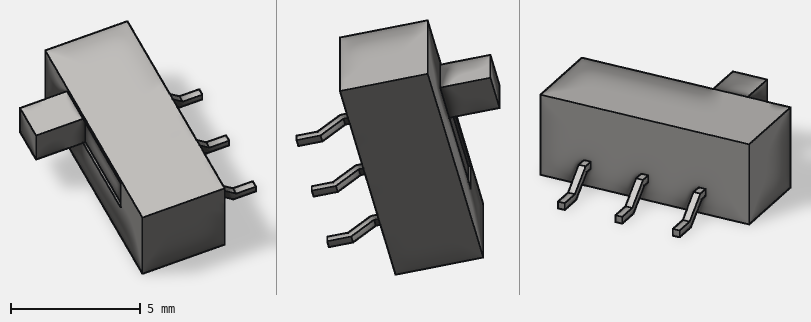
import cadquery as cq

body_length = 9.1
body_depth = 3.5
body_height = 3.5

slot_length = 5.005
slot_height = 1.5
slot_top_margin = 0.2
slot_depth = 0.1
slider_width = 1.5
slider_reach = 2.0

terminal_count = 3
terminal_pitch = 2.5
terminal_thickness = 0.3
terminal_reach = 2.19
terminal_rise = 0.8
upper_bend_top = 0.44
upper_bend_bottom = 0.32
lower_bend_top = 1.35
lower_bend_bottom = 1.23

slot_bottom = body_height - slot_top_margin - slot_height


def corner_box(x_size, y_size, z_size, corner):
    """Box extending in +X, +Y and +Z from the given corner."""
    return cq.Workplane("XY").box(x_size, y_size, z_size, centered=False).translate(corner)


def make_housing():
    housing = corner_box(body_length, body_depth, body_height, (-body_length / 2, 0, 0))
    slot = corner_box(slot_length, slot_depth, slot_height, (-slot_length / 2, 0, slot_bottom))
    return housing.cut(slot)


def make_slider():
    """Slider filling the slot height, standing on the slot floor."""
    corner = (-slot_length / 2, -slider_reach, slot_bottom)
    return corner_box(slider_width, slider_reach + slot_depth, slot_height, corner)


def make_terminal(x_center):
    """Flat strip leaving the rear face, bent down to the level of the underside."""
    profile = [
        (0, terminal_rise),
        (upper_bend_bottom, terminal_rise),
        (lower_bend_bottom, 0),
        (terminal_reach, 0),
        (terminal_reach, terminal_thickness),
        (lower_bend_top, terminal_thickness),
        (upper_bend_top, terminal_rise + terminal_thickness),
        (0, terminal_rise + terminal_thickness),
    ]
    strip = cq.Workplane("YZ").polyline(profile).close()
    strip = strip.extrude(terminal_thickness / 2, both=True)
    return strip.translate((x_center, body_depth, 0))


result = make_housing().union(make_slider())
for index in range(terminal_count):
    x_center = (index - (terminal_count - 1) / 2) * terminal_pitch
    result = result.union(make_terminal(x_center))